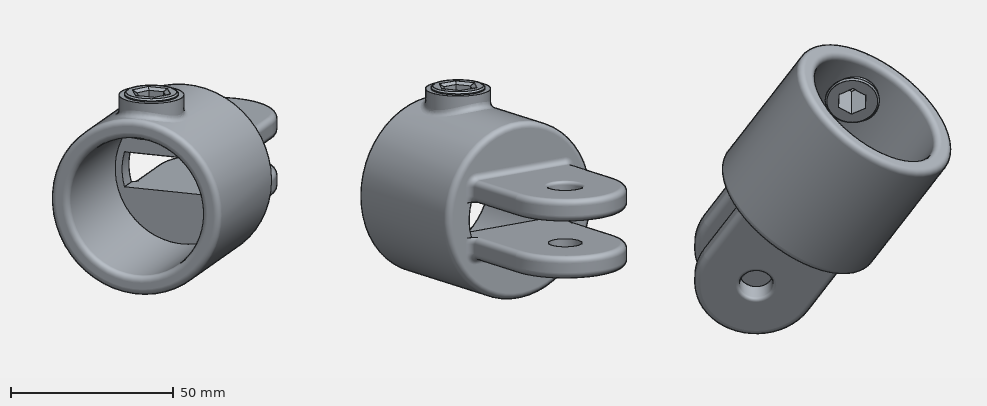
import cadquery as cq
import math

OUTER_RADIUS = 28.0
BORE_RADIUS = 22.0
SOCKET_LENGTH = 46.0
ROUND = 1.9
FACE_MARGIN = 0.1
FLOOR_THICKNESS = OUTER_RADIUS - BORE_RADIUS

TIP_Y = 88.0
LUG_RADIUS = 19.0
LUG_THICKNESS = 6.95
LUG_GAP = 11.2
LUG_CENTER_Y = TIP_Y - LUG_RADIUS
PIN_HOLE_RADIUS = 5.2
PIN_HOLE_ROUND = 1.1
SLOT_END_RADIUS = 19.7

BOSS_Y = 14.0
BOSS_RADIUS = 10.0
BOSS_TOP_Z = 32.65
SCREW_RADIUS = 8.4
SCREW_TOP_Z = 33.5
SCREW_BOTTOM_Z = 20.3
SCREW_CHAMFER = 0.5
HEX_FLATS = 8.3
HEX_MOUTH_FLATS = 10.9
HEX_BEVEL_DEPTH = 0.8


def cylinder_along_y(radius, start, end):
    return cq.Workplane("XZ", origin=(0, start, 0)).circle(radius).extrude(start - end)


def cylinder_along_z(radius, y, bottom, top):
    return cq.Workplane("XY", origin=(0, y, bottom)).circle(radius).extrude(top - bottom)


def make_shell():
    """Solid socket with its boss, before the bore is cut."""
    barrel = cylinder_along_y(OUTER_RADIUS, 0, SOCKET_LENGTH)
    boss = cylinder_along_z(BOSS_RADIUS, BOSS_Y, 0, BOSS_TOP_Z)
    shell = barrel.union(boss)
    root_box = cq.selectors.BoxSelector(
        (-BOSS_RADIUS, 0, BORE_RADIUS),
        (BOSS_RADIUS, BOSS_Y + BOSS_RADIUS, OUTER_RADIUS + ROUND),
    )
    shell = shell.edges(root_box).edges("not %CIRCLE").edges("not %LINE").fillet(ROUND)
    return shell.faces("<Y or >Y").edges().fillet(ROUND)


def make_lug(bottom_z):
    """Round-ended plate, rounded all round, starting inside the socket floor."""
    start_y = SOCKET_LENGTH - FLOOR_THICKNESS / 2
    lug = (
        cq.Workplane("XY", origin=(0, 0, bottom_z))
        .moveTo(-LUG_RADIUS, start_y)
        .lineTo(-LUG_RADIUS, LUG_CENTER_Y)
        .threePointArc((0, TIP_Y), (LUG_RADIUS, LUG_CENTER_Y))
        .lineTo(LUG_RADIUS, start_y)
        .close()
        .extrude(LUG_THICKNESS)
    )
    lug = lug.faces("<Z or >Z").edges("not <Y").fillet(ROUND)
    hole = cylinder_along_z(PIN_HOLE_RADIUS, LUG_CENTER_Y, bottom_z, bottom_z + LUG_THICKNESS)
    lug = lug.cut(hole)
    outer_face = ">Z" if bottom_z > 0 else "<Z"
    hole_rim = cq.selectors.RadiusNthSelector(0)
    return lug.faces(outer_face).edges("%CIRCLE").edges(hole_rim).fillet(PIN_HOLE_ROUND)


def cut_gap(body):
    """Flat-sided gap between the lugs, continued as a slot through the floor."""
    fork_length = TIP_Y - SOCKET_LENGTH
    gap = cq.Workplane("XY").box(2 * OUTER_RADIUS, fork_length, LUG_GAP)
    gap = gap.translate((0, SOCKET_LENGTH + fork_length / 2, 0))
    slot = cq.Workplane("XY").box(2 * OUTER_RADIUS, 2 * TIP_Y, LUG_GAP)
    slot = slot.intersect(cylinder_along_y(SLOT_END_RADIUS, 0, SOCKET_LENGTH))
    return body.cut(gap).cut(slot)


def make_fitting():
    body = make_shell()
    for bottom_z in (LUG_GAP / 2, -LUG_GAP / 2 - LUG_THICKNESS):
        body = body.union(make_lug(bottom_z))
    lug_roots = cq.selectors.BoxSelector(
        (-BORE_RADIUS, SOCKET_LENGTH - FACE_MARGIN, -BORE_RADIUS),
        (BORE_RADIUS, SOCKET_LENGTH + FACE_MARGIN, BORE_RADIUS),
        boundingbox=True,
    )
    body = body.edges(lug_roots).fillet(ROUND)
    body = cut_gap(body)
    body = body.cut(cylinder_along_y(BORE_RADIUS, 0, SOCKET_LENGTH - FLOOR_THICKNESS))
    body = body.faces("<Y").edges(cq.selectors.RadiusNthSelector(0)).fillet(ROUND)
    return body.cut(cylinder_along_z(SCREW_RADIUS, BOSS_Y, 0, BOSS_TOP_Z))


def make_set_screw():
    screw = cylinder_along_z(SCREW_RADIUS, BOSS_Y, SCREW_BOTTOM_Z, SCREW_TOP_Z)
    screw = screw.faces("<Z or >Z").chamfer(SCREW_CHAMFER)
    flats_to_corners = 1 / math.cos(math.pi / 6)
    top = cq.Workplane("XY", origin=(0, BOSS_Y, SCREW_TOP_Z))
    key_socket = top.polygon(6, HEX_FLATS * flats_to_corners).extrude(SCREW_BOTTOM_Z - SCREW_TOP_Z)
    bevel = (
        top.polygon(6, HEX_MOUTH_FLATS * flats_to_corners)
        .workplane(offset=-HEX_BEVEL_DEPTH)
        .polygon(6, HEX_FLATS * flats_to_corners)
        .loft(ruled=True)
    )
    return screw.cut(key_socket).cut(bevel)


fitting = make_fitting()
set_screw = make_set_screw()
result = cq.Compound.makeCompound([fitting.val(), set_screw.val()])